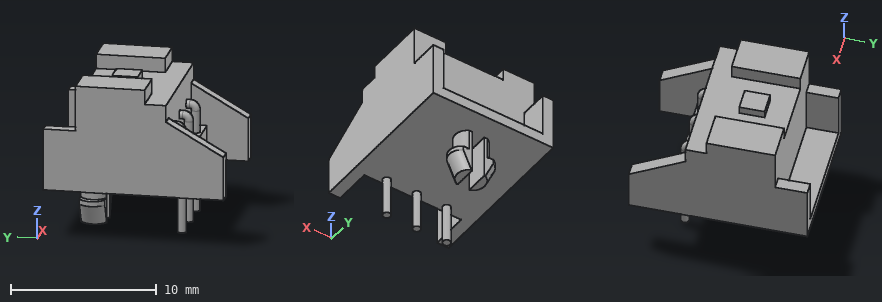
import cadquery as cq
import math

WIDTH = 10.0
LENGTH = 12.6
ROOF_Z = 6.58
PAD_TOP_Z = 7.6

BODY_FRONT_Y = 4.01
BODY_BACK_Y = 10.33
REAR_WALL_Z = 4.38
CHEEK_FRONT_Z = 3.1
CHEEK_BACK_Z = 5.39
PAD_FRONT_Y = 5.49

CHEEK_THICKNESS = 0.97
REAR_WALL_THICKNESS = 0.87
REAR_FLOOR_Z = REAR_WALL_THICKNESS
PAD_WIDTH = 2.61
LEDGE_FRONT_Y = 2.9
LEDGE_Z = 2.41
KEY_WIDTH = 1.6
KEY_FRONT_Y = 6.79
KEY_BACK_Y = 8.58
KEY_HEIGHT = 0.59

PIN_COUNT = 3
PIN_PITCH = 2.5
PIN_DIAMETER = 0.6
PIN_Y = 3.38
PIN_BOTTOM_Z = -3.23
PIN_BEND_RADIUS = 0.4
PIN_AXIS_Z = 4.4
PIN_EMBED = 0.5

PEG_Y = 9.9
PEG_DEPTH = 1.79
PEG_ARC_RADIUS = 1.0
PEG_SLOT_HALF = 0.49
PEG_SHAFT_REACH = 1.31
PEG_BARB_REACH = 1.8
PEG_TIP_REACH = 1.13
PEG_BARB_TOP_Z = -1.68
PEG_BARB_BOTTOM_Z = -2.03
PEG_TIP_Z = PAD_TOP_Z - 11.1


def block(width, y_front, y_back, z_low, z_high, x_center=0):
    """Box between the given Y and Z limits, centred at x_center."""
    return (
        cq.Workplane("XY", origin=(x_center, y_front, z_low))
        .box(width, y_back - y_front, z_high - z_low, centered=(True, False, False))
    )


def make_housing():
    """Stepped housing with front cheeks, ledge, roof pads and key."""
    outline = [
        (0, 0),
        (LENGTH, 0),
        (LENGTH, REAR_WALL_Z),
        (BODY_BACK_Y, REAR_WALL_Z),
        (BODY_BACK_Y, ROOF_Z),
        (BODY_FRONT_Y, ROOF_Z),
        (BODY_FRONT_Y, CHEEK_BACK_Z),
        (0, CHEEK_FRONT_Z),
    ]
    housing = cq.Workplane("YZ").polyline(outline).close().extrude(WIDTH / 2, both=True)

    front_gap = WIDTH - 2 * CHEEK_THICKNESS
    rear_gap = WIDTH - 2 * REAR_WALL_THICKNESS
    housing = housing.cut(block(front_gap, 0, BODY_FRONT_Y, 0, ROOF_Z))
    housing = housing.union(block(front_gap, LEDGE_FRONT_Y, BODY_FRONT_Y, 0, LEDGE_Z))
    housing = housing.cut(block(rear_gap, BODY_BACK_Y, LENGTH, REAR_FLOOR_Z, ROOF_Z))

    for side in (-1, 1):
        pad_x = side * (WIDTH - PAD_WIDTH) / 2
        housing = housing.union(block(PAD_WIDTH, PAD_FRONT_Y, BODY_BACK_Y, ROOF_Z, PAD_TOP_Z, pad_x))
    key = block(KEY_WIDTH, KEY_FRONT_Y, KEY_BACK_Y, ROOF_Z, ROOF_Z + KEY_HEIGHT)
    return housing.union(key)


def make_pin(x):
    """Round pin rising through the ledge and bending back into the body."""
    bend_start_z = PIN_AXIS_Z - PIN_BEND_RADIUS
    bend_end_y = PIN_Y + PIN_BEND_RADIUS
    diagonal = PIN_BEND_RADIUS * math.sqrt(0.5)
    path = (
        cq.Workplane("YZ", origin=(x, 0, 0))
        .moveTo(PIN_Y, PIN_BOTTOM_Z)
        .lineTo(PIN_Y, bend_start_z)
        .threePointArc((bend_end_y - diagonal, bend_start_z + diagonal), (bend_end_y, PIN_AXIS_Z))
        .lineTo(BODY_FRONT_Y + PIN_EMBED, PIN_AXIS_Z)
    )
    section = cq.Workplane("XY", origin=(x, PIN_Y, PIN_BOTTOM_Z)).circle(PIN_DIAMETER / 2)
    return section.sweep(path)


def peg_section(workplane, reach):
    """Leg section: flat at the slot, arc on the outside reaching out to x = reach."""
    half_depth = PEG_DEPTH / 2
    arc_height = PEG_ARC_RADIUS - math.sqrt(PEG_ARC_RADIUS**2 - half_depth**2)
    arc_x = reach - arc_height
    return (
        workplane.moveTo(PEG_SLOT_HALF, -half_depth)
        .lineTo(arc_x, -half_depth)
        .threePointArc((reach, 0), (arc_x, half_depth))
        .lineTo(PEG_SLOT_HALF, half_depth)
        .close()
    )


def make_peg_leg():
    """Right-hand leg: shaft, straight barb rim and tapered tip."""
    shaft_plane = cq.Workplane("XY", origin=(0, PEG_Y, PEG_BARB_TOP_Z))
    shaft = peg_section(shaft_plane, PEG_SHAFT_REACH).extrude(-PEG_BARB_TOP_Z)
    rim_plane = cq.Workplane("XY", origin=(0, PEG_Y, PEG_BARB_BOTTOM_Z))
    rim = peg_section(rim_plane, PEG_BARB_REACH).extrude(PEG_BARB_TOP_Z - PEG_BARB_BOTTOM_Z)
    tip_start = peg_section(rim_plane, PEG_BARB_REACH)
    tip_end_plane = tip_start.workplane(offset=PEG_TIP_Z - PEG_BARB_BOTTOM_Z, origin=(0, PEG_Y, 0))
    tip = peg_section(tip_end_plane, PEG_TIP_REACH).loft(ruled=True)
    return shaft.union(rim).union(tip)


result = make_housing()
for index in range(PIN_COUNT):
    result = result.union(make_pin((index - (PIN_COUNT - 1) / 2) * PIN_PITCH))

leg = make_peg_leg()
result = result.union(leg).union(leg.mirror("YZ"))